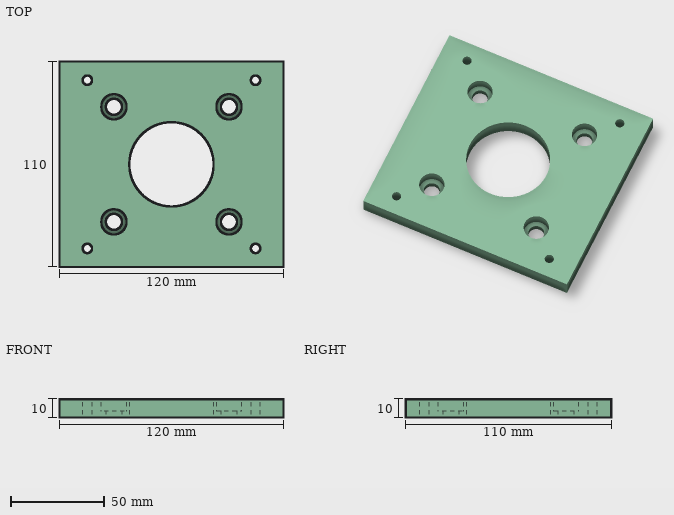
import cadquery as cq

length = 120.0
width = 110.0
thickness = 10.0

bore_diameter = 45.0

corner_hole_spacing = 90.0
corner_hole_diameter = 4.9

screw_spacing = 61.5
screw_hole_diameter = 8.5
counterbore_diameter = 13.5
counterbore_depth = 6.5


def square_pattern(body, spacing):
    """Select the four corners of a centred square on the top face."""
    top = body.faces(">Z").workplane(origin=(0, 0, thickness))
    return top.rect(spacing, spacing, forConstruction=True).vertices()


plate = cq.Workplane("XY").box(length, width, thickness, centered=(True, True, False))
bored = plate.faces(">Z").workplane().hole(bore_diameter)
drilled = square_pattern(bored, corner_hole_spacing).hole(corner_hole_diameter)
result = square_pattern(drilled, screw_spacing).cboreHole(
    screw_hole_diameter, counterbore_diameter, counterbore_depth
)